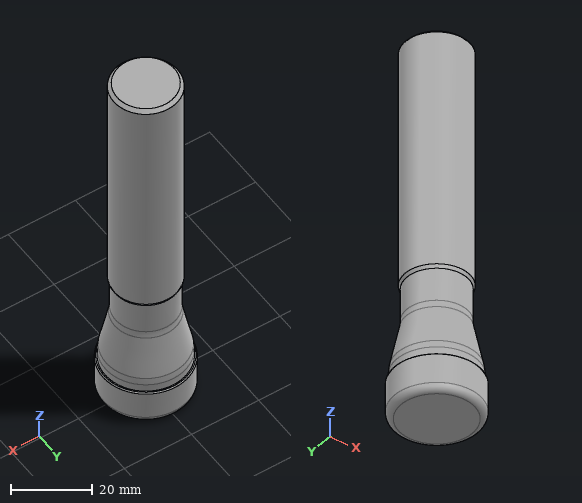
import cadquery as cq
import math

total_length = 111.1
flare_radius = 12.0
head_overhang = 0.7
head_radius = flare_radius + head_overhang
neck_radius = 9.0
shank_radius = 9.5

head_height = 10.9
head_rounding = 2.0
head_chamfer = 0.3

collar_top = 13.2
flare_half_angle = math.radians(12)
flare_blend_radius = 10.0

shank_bottom = 40.1
neck_taper_height = 1.0
tip_chamfer = 1.0

blend_height = flare_blend_radius * math.sin(flare_half_angle)
blend_depth = flare_blend_radius * (1 - math.cos(flare_half_angle))
mid_blend_height = flare_blend_radius * math.sin(flare_half_angle / 2)
mid_blend_depth = flare_blend_radius * (1 - math.cos(flare_half_angle / 2))

cone_depth = flare_radius - neck_radius - 2 * blend_depth
cone_bottom = collar_top + blend_height
cone_top = cone_bottom + cone_depth / math.tan(flare_half_angle)
neck_bottom = cone_top + blend_height


def make_head():
    """Cylindrical head with its bottom rim rounded and its top rim chamfered."""
    disc = cq.Workplane("XY").circle(head_radius).extrude(head_height)
    rounded_disc = disc.faces("<Z").edges().fillet(head_rounding)
    return rounded_disc.faces(">Z").edges().chamfer(head_chamfer)


def make_stem():
    """Collar, flare, neck and shank, revolved as one solid standing on the head."""
    profile = (
        cq.Workplane("XZ")
        .moveTo(0, head_height)
        .lineTo(flare_radius, head_height)
        .lineTo(flare_radius, collar_top)
        .threePointArc(
            (flare_radius - mid_blend_depth, collar_top + mid_blend_height),
            (flare_radius - blend_depth, cone_bottom),
        )
        .lineTo(neck_radius + blend_depth, cone_top)
        .threePointArc(
            (neck_radius + mid_blend_depth, neck_bottom - mid_blend_height),
            (neck_radius, neck_bottom),
        )
        .lineTo(neck_radius, shank_bottom - neck_taper_height)
        .lineTo(shank_radius, shank_bottom)
        .lineTo(shank_radius, total_length - tip_chamfer)
        .lineTo(shank_radius - tip_chamfer, total_length)
        .lineTo(0, total_length)
        .close()
    )
    return profile.revolve(360, (0, 0, 0), (0, 1, 0))


head = make_head()
stem = make_stem()

result = cq.Compound.makeCompound([head.val(), stem.val()])